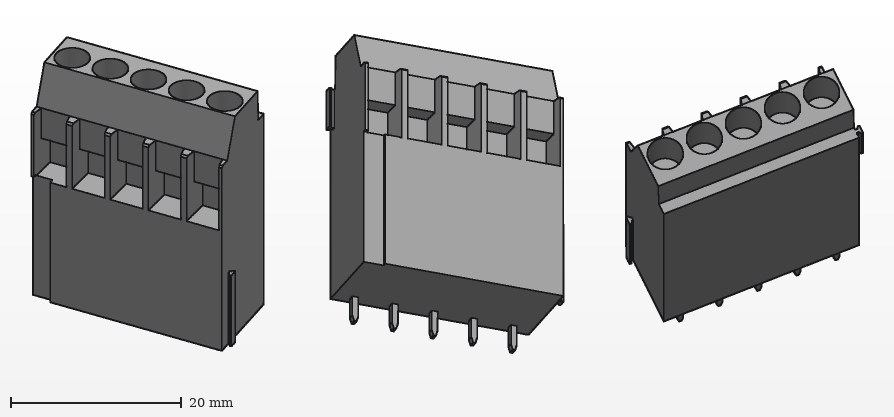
import cadquery as cq
import math


overall_height = 34.3
pole_count = 5
housing_width = 25.0
housing_depth = 10.95
housing_height = 31.1
pole_pitch = housing_width / pole_count
housing_half = housing_width / 2
pole_xs = [(i - (pole_count - 1) / 2) * pole_pitch for i in range(pole_count)]

front_ledge_depth = 1.4
front_ledge_height = 26.07
front_chamfer = 0.25
slope_top_y = 3.43
shelf_height = 26.93
shelf_front_y = 9.5
top_rear_y = 9.33

screw_hole_diameter = 4.2
screw_hole_y = 5.73
screw_hole_depth = 5.15

pocket_width = 4.25
pocket_sill = 16.95
pocket_depth = 3.02
pocket_step_z = 21.78
pocket_draft_angle = 11
pocket_draft = math.tan(math.radians(pocket_draft_angle))

relief_width = pole_pitch / 2
relief_depth = 0.48
relief_height = 17.08

rail_head_width = 1.03
rail_neck_width = 0.48
rail_head_thickness = 0.25
rail_bevel = 0.17
left_rail_reach = 0.7
left_rail_y = 10.0
left_rail_length = 5.08
right_rail_reach = 0.6
right_rail_y = 1.85
right_rail_length = 10.05

pin_width = 0.75
pin_thickness = 0.85
pin_y = 9.7
pin_length = overall_height - housing_height
pin_tip_width = 0.3
pin_tip_length = 0.7


def make_housing_block():
    """Side outline of the housing, extruded across its width."""
    return (
        cq.Workplane("YZ", origin=(-housing_half, 0, 0))
        .moveTo(0, 0)
        .lineTo(0, front_ledge_height - front_chamfer)
        .lineTo(front_chamfer, front_ledge_height)
        .lineTo(front_ledge_depth, front_ledge_height)
        .lineTo(slope_top_y, housing_height)
        .lineTo(top_rear_y, housing_height)
        .lineTo(shelf_front_y, shelf_height)
        .lineTo(housing_depth, shelf_height)
        .lineTo(housing_depth, 0)
        .close()
        .extrude(housing_width)
    )


def make_screw_holes():
    """Blind round holes sunk from the top face, one per pole."""
    return (
        cq.Workplane("XY", origin=(0, 0, housing_height - screw_hole_depth))
        .pushPoints([(x, screw_hole_y) for x in pole_xs])
        .circle(screw_hole_diameter / 2)
        .extrude(screw_hole_depth)
    )


def make_drafted_cut(x, depth, front_top, back_top):
    """Cut running back from the front face, its sides and floor closing in by the draft."""
    inset = pocket_draft * depth
    back_sill = pocket_sill + inset
    front_height = front_top - pocket_sill
    back_height = back_top - back_sill
    front_middle = pocket_sill + front_height / 2
    back_middle = back_sill + back_height / 2
    return (
        cq.Workplane("XZ", origin=(x, 0, 0))
        .center(0, front_middle)
        .rect(pocket_width, front_height)
        .workplane(offset=-depth)
        .center(0, back_middle - front_middle)
        .rect(pocket_width - 2 * inset, back_height)
        .loft(ruled=True)
    )


def make_wire_pocket(x):
    """Open-topped slot in the front ledge, with a deeper closed recess in its lower half."""
    slot = make_drafted_cut(x, front_ledge_depth, front_ledge_height, front_ledge_height)
    recess_front_top = pocket_step_z + pocket_draft * front_ledge_depth
    recess_back_top = recess_front_top - pocket_draft * pocket_depth
    recess = make_drafted_cut(x, pocket_depth, recess_front_top, recess_back_top)
    return slot.union(recess)


def make_corner_relief():
    """Shallow step at the front left corner, from the underside up to the pocket sill."""
    return (
        cq.Workplane("XY", origin=(-housing_half, 0, 0))
        .box(relief_width, relief_depth, relief_height, centered=False)
    )


def make_rail(side, y, z, reach, length):
    """Upright T-shaped rail with a bevelled head; side is -1 for left and +1 for right."""
    root = side * housing_half
    tip = side * (housing_half + reach)
    head_back = tip - side * rail_head_thickness
    neck_end = head_back - side * rail_bevel
    half_outline = [
        (root, rail_neck_width / 2),
        (neck_end, rail_neck_width / 2),
        (head_back, rail_head_width / 2),
        (tip, rail_head_width / 2),
    ]
    mirrored = [(px, -py) for px, py in reversed(half_outline)]
    return (
        cq.Workplane("XY", origin=(0, y, z))
        .polyline(half_outline + mirrored)
        .close()
        .extrude(length)
    )


def make_housing():
    """Block with its holes, pockets and corner relief cut out and both rails added."""
    body = make_housing_block().cut(make_screw_holes())
    for x in pole_xs:
        body = body.cut(make_wire_pocket(x))
    body = body.cut(make_corner_relief())
    left_rail_z = shelf_height - left_rail_length
    body = body.union(make_rail(-1, left_rail_y, left_rail_z, left_rail_reach, left_rail_length))
    return body.union(make_rail(1, right_rail_y, 0, right_rail_reach, right_rail_length))


def make_pin(x):
    """Rectangular pin hanging from the underside, its tip tapered on the left and right."""
    taper_z = pin_tip_length - pin_length
    return (
        cq.Workplane("XZ", origin=(x, pin_y, 0))
        .polyline([
            (-pin_width / 2, 0),
            (-pin_width / 2, taper_z),
            (-pin_tip_width / 2, -pin_length),
            (pin_tip_width / 2, -pin_length),
            (pin_width / 2, taper_z),
            (pin_width / 2, 0),
        ])
        .close()
        .extrude(pin_thickness / 2, both=True)
    )


housing = make_housing()
pins = [make_pin(x).val() for x in pole_xs]

result = cq.Compound.makeCompound([housing.val(), *pins])